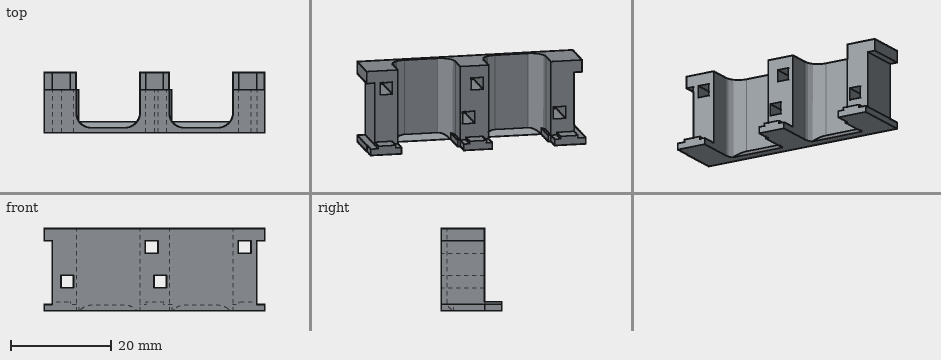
import cadquery as cq

length = 44.1
depth = 12.1
height = 16.45

body_depth = 8.65

end_notch = 1.65
lower_flange = 1.32
upper_flange = 2.45

foot_height = 1.85
foot_shoulder = 1.2
foot_end_gap = 0.1

bay_pitch = 18.57
bay_width = 12.75
first_bay = 6.4
bay_wall = 1.05
bay_radius = 3.0

ramp_leg = 1.2

ledge_width = 0.55

window_size = 2.45
lower_window_x = 3.4
lower_window_z = 4.65
upper_window_x = 20.25
upper_window_z = height - upper_flange - window_size

pitch_offsets = [0, bay_pitch]


def block(x, y, z, size_x, size_y, size_z):
    """Box placed by its lowest corner."""
    return cq.Workplane("XY").box(size_x, size_y, size_z, centered=False).translate((x, y, z))


def end_notch_cutter(x):
    notch_height = height - lower_flange - upper_flange
    return block(x, 0, lower_flange, end_notch, depth, notch_height)


def bay_cutter(bay_x):
    """Open bay, rounded in the two corners next to the front wall."""
    cutter = block(bay_x, bay_wall, 0, bay_width, depth, height)
    return cutter.edges("|Z and <Y").fillet(bay_radius)


def bay_ramp(bay_x):
    """Triangular ramp against the front wall, trimmed to the rounded bay."""
    wedge = (
        cq.Workplane("YZ", origin=(bay_x, 0, 0))
        .moveTo(bay_wall, 0)
        .lineTo(bay_wall + ramp_leg, 0)
        .lineTo(bay_wall, ramp_leg)
        .close()
        .extrude(bay_width)
    )
    return wedge.intersect(bay_cutter(bay_x))


def bay_ledge(bay_x):
    return block(bay_x, bay_wall, 0, ledge_width, body_depth - bay_wall, lower_flange)


def shoulder_cutter(x):
    return block(x, body_depth, lower_flange, foot_shoulder, depth, height)


def window_cutter(x, z):
    return block(x, 0, z, window_size, depth, window_size)


body = block(0, 0, 0, length, body_depth, height)
foot_strip = block(0, 0, 0, length - foot_end_gap, depth, foot_height)
result = body.union(foot_strip)

for notch_x in (0, length - end_notch):
    result = result.cut(end_notch_cutter(notch_x))

for offset in pitch_offsets:
    bay_x = first_bay + offset
    result = result.cut(bay_cutter(bay_x))
    result = result.union(bay_ramp(bay_x))
    result = result.union(bay_ledge(bay_x))
    for shoulder_x in (bay_x - foot_shoulder, bay_x + bay_width):
        result = result.cut(shoulder_cutter(shoulder_x))

for offset in pitch_offsets:
    result = result.cut(window_cutter(lower_window_x + offset, lower_window_z))
    result = result.cut(window_cutter(upper_window_x + offset, upper_window_z))